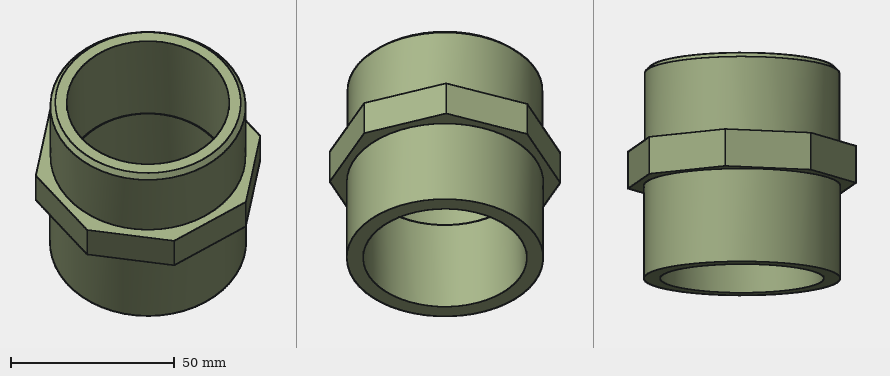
import cadquery as cq

height = 65.0
across_flats = 65.0

socket_diameter = 60.0
spigot_diameter = 59.6
collar_bottom = 28.7
collar_top = 40.2
chamfer = 1.5

bore_diameter = 49.6
pipe_diameter = 50.0
pipe_depth = 31.0


def octagonal_collar():
    """Regular octagon with flats facing the X and Y axes."""
    thickness = collar_top - collar_bottom
    base = cq.Workplane("XY").workplane(offset=collar_bottom)
    square = base.rect(across_flats, across_flats).extrude(thickness)
    return square.intersect(square.rotate((0, 0, 0), (0, 0, 1), 45))


def cylinder(diameter, bottom, top):
    """Vertical cylinder on the part axis."""
    return cq.Workplane("XY").workplane(offset=bottom).circle(diameter / 2).extrude(top - bottom)


socket = cylinder(socket_diameter, 0, collar_bottom)
spigot = cylinder(spigot_diameter, collar_top, height).faces(">Z").chamfer(chamfer)
body = socket.union(octagonal_collar()).union(spigot)

bore = cylinder(bore_diameter, 0, height)
pipe_seat = cylinder(pipe_diameter, 0, pipe_depth)
result = body.cut(bore).cut(pipe_seat)